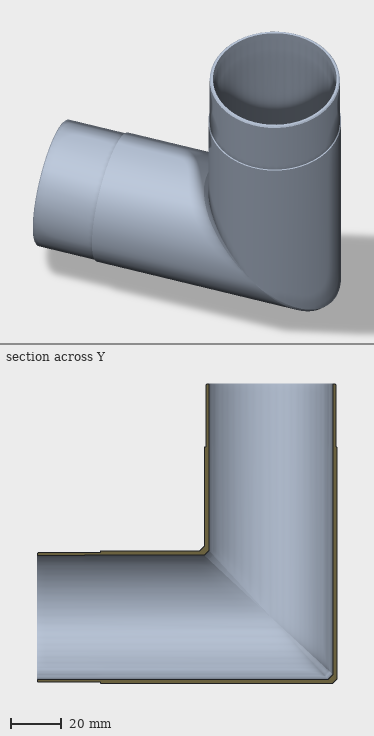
import cadquery as cq
import math

overall = 118.2
sleeve_diameter = 52.3
spigot_diameter = 51.3
spigot_length = 24.8
bore_diameter = 48.7
tip_chamfer = 0.5
miter_setback = 1.9

sleeve_radius = sleeve_diameter / 2
spigot_radius = spigot_diameter / 2
bore_radius = bore_diameter / 2
leg_length = overall - sleeve_radius
shoulder = leg_length - spigot_length


def upright_leg(profile, radius):
    """Revolve a (radius, height) profile about Z and trim it where the miter easing begins."""
    leg = cq.Workplane("XZ").polyline(profile).close().revolve(360, (0, 0, 0), (0, 1, 0))
    reach = 2 * overall
    slope = miter_setback / radius
    trim = (
        cq.Workplane("XZ")
        .polyline([
            (0, 0),
            (reach, -reach * (1 - slope)),
            (reach, reach * (1 + slope)),
            (-reach, reach * (1 + slope)),
        ])
        .close()
        .extrude(overall, both=True)
    )
    return leg.intersect(trim)


def miter_wedge(radius, side):
    """Eased strip of the miter: half an ellipse swept about Y; side is 1 at the heel, -1 at the crotch."""
    end_height = radius - side * miter_setback
    half_angle = 45 - math.degrees(math.atan2(end_height, radius))
    sweep = 2 * abs(half_angle)
    half_width = math.hypot(radius, end_height)
    wedge = (
        cq.Workplane("XY")
        .moveTo(0, -radius)
        .threePointArc((radius, 0), (0, radius))
        .close()
        .revolve(sweep, (0, 0, 0), (0, 1, 0))
    )
    stretch = half_width / radius
    stretched = wedge.val().transformGeometry(
        cq.Matrix([[stretch, 0, 0, 0], [0, 1, 0, 0], [0, 0, stretch, 0]])
    )
    middle = 45 if side == 1 else 225
    return cq.Workplane(stretched).rotate((0, 0, 0), (0, 1, 0), middle - sweep / 2)


def elbow(profile, radius):
    """Join two mirrored legs and the eased strips between them."""
    upright = upright_leg(profile, radius)
    lying = upright.rotate((0, 0, 0), (-1, 0, 1), 180)
    return upright.union(lying).union(miter_wedge(radius, 1)).union(miter_wedge(radius, -1))


outer_profile = [
    (0, -overall),
    (sleeve_radius, -overall),
    (sleeve_radius, shoulder),
    (spigot_radius, shoulder),
    (spigot_radius, leg_length - tip_chamfer),
    (spigot_radius - tip_chamfer, leg_length),
    (0, leg_length),
]
bore_profile = [(0, -overall), (bore_radius, -overall), (bore_radius, leg_length), (0, leg_length)]

body = elbow(outer_profile, sleeve_radius)
bore = elbow(bore_profile, bore_radius)
result = body.cut(bore)